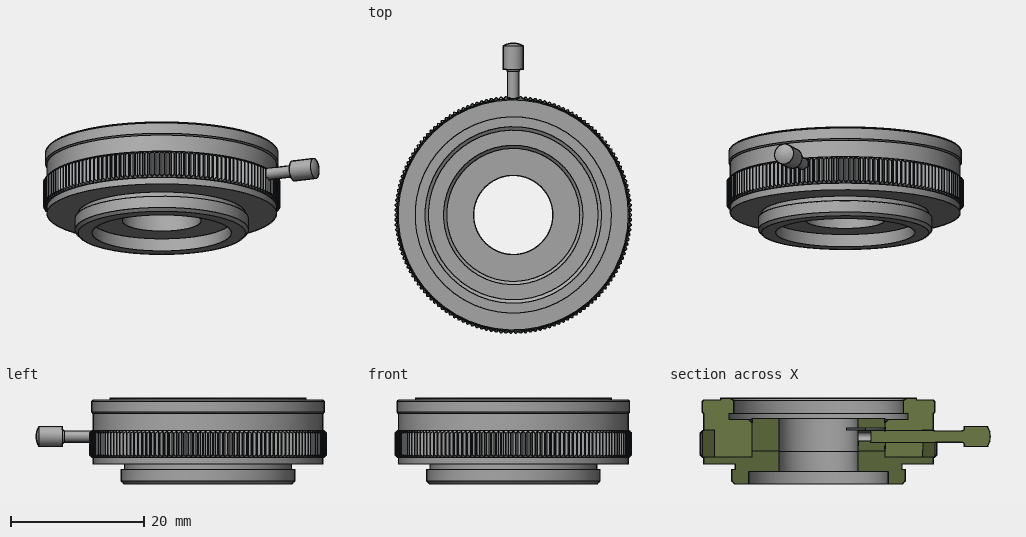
import cadquery as cq
import math

TOTAL_HEIGHT = 12.9
FLANGE_TOP = 12.65
FLANGE_BOTTOM = 10.83
RELIEF_TOP = 10.6
FLOOR_HEIGHT = 9.75
BARREL_TOP = 9.9
RING_TOP = 8.08
LEVER_HEIGHT = 7.15
BARREL_BOTTOM = 4.95
RING_BOTTOM = 4.0
BODY_BOTTOM = 3.0
NECK_BOTTOM = 2.23
RECESS_TOP = 1.88

BORE_RADIUS = 5.95
BARREL_RADIUS = 10.0
RECESS_RADIUS = 10.48
NECK_RADIUS = 12.55
FOOT_RADIUS = 13.05
THREAD_RADIUS = 12.75
THREAD_ENTRY_RADIUS = 13.25
RELIEF_RADIUS = 13.45
LIP_RADIUS = 14.75
RING_SEAT_RADIUS = 15.7
BODY_RADIUS = 17.3
FLANGE_RADIUS = 17.5
RING_RADIUS = 17.8

FLANGE_CHAMFER = FLANGE_RADIUS - BODY_RADIUS
FLOOR_CHAMFER = 0.5
FOOT_CHAMFER = 0.5
RING_CHAMFER = 0.4
THREAD_CHAMFER_DEPTH = 0.35

TOOTH_COUNT = 150
TOOTH_DEPTH = 0.3
TOOTH_TIP_WIDTH = 0.15

SLOT_BOTTOM = 8.1
SLOT_HEIGHT = 0.3
SLOT_HALF_ANGLE = 45.0
BARREL_HOLE_RADIUS = 0.65

OVERALL_LENGTH = 43.65
LEVER_SEAT = 7.85
SHAFT_RADIUS = 0.87
COLLAR_RADIUS = 1.05
COLLAR_START = 21.55
KNOB_RADIUS = 1.53
KNOB_START = 21.85
KNOB_SHOULDER = 25.4
LEVER_END = OVERALL_LENGTH - RING_RADIUS


def revolve_about_z(points):
    """Solid of revolution about Z from (radius, height) points."""
    return cq.Workplane("XZ").polyline(points).close().revolve(360, (0, 0), (0, 1))


def radial_cylinder(radius, start, end):
    """Cylinder along +Y at the lever height."""
    plane = cq.Workplane("XZ", origin=(0, start, LEVER_HEIGHT))
    return plane.circle(radius).extrude(start - end)


def make_housing():
    """Upper housing: flange, threaded mouth and a groove that takes the knurled ring."""
    outline = [
        (BARREL_RADIUS, RING_BOTTOM),
        (RING_SEAT_RADIUS, RING_BOTTOM),
        (RING_SEAT_RADIUS, RING_TOP),
        (BODY_RADIUS, RING_TOP),
        (BODY_RADIUS, FLANGE_BOTTOM - FLANGE_CHAMFER),
        (FLANGE_RADIUS, FLANGE_BOTTOM),
        (FLANGE_RADIUS, FLANGE_TOP - FLANGE_CHAMFER),
        (FLANGE_RADIUS - FLANGE_CHAMFER, FLANGE_TOP),
        (LIP_RADIUS, FLANGE_TOP),
        (LIP_RADIUS, TOTAL_HEIGHT),
        (THREAD_ENTRY_RADIUS, TOTAL_HEIGHT),
        (THREAD_RADIUS, TOTAL_HEIGHT - THREAD_CHAMFER_DEPTH),
        (THREAD_RADIUS, RELIEF_TOP),
        (RELIEF_RADIUS, RELIEF_TOP),
        (RELIEF_RADIUS, FLOOR_HEIGHT),
        (BARREL_RADIUS + FLOOR_CHAMFER, FLOOR_HEIGHT),
        (BARREL_RADIUS, FLOOR_HEIGHT - FLOOR_CHAMFER),
    ]
    return revolve_about_z(outline).cut(radial_cylinder(SHAFT_RADIUS, LEVER_SEAT, LEVER_END))


def make_barrel():
    """Iris barrel, with a blade slot and a stepped hole for the lever."""
    height = BARREL_TOP - BARREL_BOTTOM
    tube = (
        cq.Workplane("XY", origin=(0, 0, BARREL_BOTTOM))
        .circle(BARREL_RADIUS)
        .circle(BORE_RADIUS)
        .extrude(height)
    )
    reach = 2 * BARREL_RADIUS
    half_width = reach * math.tan(math.radians(SLOT_HALF_ANGLE))
    slot = (
        cq.Workplane("XY", origin=(0, 0, SLOT_BOTTOM))
        .polyline([(0, 0), (half_width, reach), (-half_width, reach)])
        .close()
        .extrude(SLOT_HEIGHT)
    )
    through_hole = radial_cylinder(BARREL_HOLE_RADIUS, 0, BARREL_RADIUS)
    lever_hole = radial_cylinder(SHAFT_RADIUS, LEVER_SEAT, LEVER_END)
    return tube.cut(slot).cut(through_hole).cut(lever_hole)


def make_knurled_ring():
    """Grip ring with straight knurling, chamfered at both ends."""
    root_radius = RING_RADIUS - TOOTH_DEPTH
    pitch_angle = 2 * math.pi / TOOTH_COUNT
    half_tip_angle = TOOTH_TIP_WIDTH / RING_RADIUS / 2
    outline = []
    for tooth in range(TOOTH_COUNT):
        valley = math.pi / 2 + tooth * pitch_angle
        tip = valley + pitch_angle / 2
        for radius, angle in (
            (root_radius, valley),
            (RING_RADIUS, tip - half_tip_angle),
            (RING_RADIUS, tip + half_tip_angle),
        ):
            outline.append((radius * math.cos(angle), radius * math.sin(angle)))
    height = RING_TOP - RING_BOTTOM
    teeth = cq.Workplane("XY", origin=(0, 0, RING_BOTTOM)).polyline(outline).close().extrude(height)
    blank = revolve_about_z([
        (RING_SEAT_RADIUS, RING_BOTTOM),
        (RING_RADIUS - RING_CHAMFER, RING_BOTTOM),
        (RING_RADIUS, RING_BOTTOM + RING_CHAMFER),
        (RING_RADIUS, RING_TOP - RING_CHAMFER),
        (RING_RADIUS - RING_CHAMFER, RING_TOP),
        (RING_SEAT_RADIUS, RING_TOP),
    ])
    return blank.intersect(teeth).cut(radial_cylinder(SHAFT_RADIUS, LEVER_SEAT, LEVER_END))


def make_lever():
    """Lever with a domed knob."""
    dome_rise = LEVER_END - KNOB_SHOULDER
    dome_radius = (KNOB_RADIUS**2 + dome_rise**2) / (2 * dome_rise)
    profile = (
        cq.Workplane("XY", origin=(0, 0, LEVER_HEIGHT))
        .moveTo(0, LEVER_SEAT)
        .lineTo(SHAFT_RADIUS, LEVER_SEAT)
        .lineTo(SHAFT_RADIUS, COLLAR_START)
        .lineTo(COLLAR_RADIUS, KNOB_START)
        .lineTo(KNOB_RADIUS, KNOB_START)
        .lineTo(KNOB_RADIUS, KNOB_SHOULDER)
        .radiusArc((0, LEVER_END), -dome_radius)
        .close()
    )
    return profile.revolve(360, (0, 0), (0, 1))


def make_base():
    """Base: spigot, body disc, neck and chamfered foot, hollow underneath."""
    return revolve_about_z([
        (RECESS_RADIUS, 0),
        (FOOT_RADIUS - FOOT_CHAMFER, 0),
        (FOOT_RADIUS, FOOT_CHAMFER),
        (FOOT_RADIUS, NECK_BOTTOM),
        (NECK_RADIUS, NECK_BOTTOM),
        (NECK_RADIUS, BODY_BOTTOM),
        (BODY_RADIUS, BODY_BOTTOM),
        (BODY_RADIUS, RING_BOTTOM),
        (BARREL_RADIUS, RING_BOTTOM),
        (BARREL_RADIUS, BARREL_BOTTOM),
        (BORE_RADIUS, BARREL_BOTTOM),
        (BORE_RADIUS, RECESS_TOP),
        (RECESS_RADIUS, RECESS_TOP),
    ])


housing = make_housing()
barrel = make_barrel()
knurled_ring = make_knurled_ring()
lever = make_lever()
base = make_base()

result = cq.Compound.makeCompound(
    [housing.val(), barrel.val(), knurled_ring.val(), lever.val(), base.val()]
)